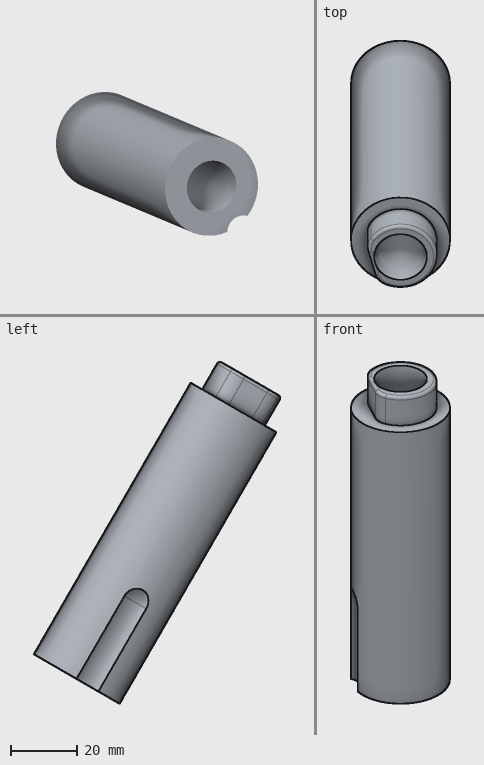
import cadquery as cq

body_radius = 15.0
body_length = 95.0

neck_radius = 11.0
neck_length = 10.0
flat_distance = 9.0
flat_corner_radius = 5.5
rim_fillet = 1.0

bore_radius = 8.0

groove_radius = 5.0
groove_depth = 2.5
groove_length = 29.0

spin_angle = 15
tilt_angle = 30

total_length = body_length + neck_length


def make_neck():
    """Round neck with one flat facing -X, blended corners and a rounded rim."""
    neck = cq.Workplane("XY").circle(neck_radius).extrude(neck_length)
    keep = (
        cq.Workplane("XY")
        .box(2 * neck_radius, 2 * neck_radius, neck_length, centered=(True, True, False))
        .translate((neck_radius - flat_distance, 0, 0))
    )
    neck = neck.intersect(keep)
    flat_corners = neck.faces("<X").edges("|Z")
    neck = flat_corners.fillet(flat_corner_radius)
    neck = neck.faces(">Z").edges().fillet(rim_fillet)
    return neck.translate((0, 0, body_length))


def make_groove():
    """Cutter for the groove, running along the -X side of the body."""
    channel = cq.Workplane("XY").circle(groove_radius).extrude(groove_length)
    ball_end = cq.Workplane("XY").sphere(groove_radius).translate((0, 0, groove_length))
    axis_distance = body_radius - groove_depth + groove_radius
    return channel.union(ball_end).translate((-axis_distance, 0, 0))


body = cq.Workplane("XY").circle(body_radius).extrude(body_length)
bore = cq.Workplane("XY").circle(bore_radius).extrude(total_length)
upright = body.union(make_neck()).cut(bore).cut(make_groove())

result = (
    upright
    .rotate((0, 0, 0), (0, 0, 1), spin_angle)
    .rotate((0, 0, 0), (1, 0, 0), tilt_angle)
)